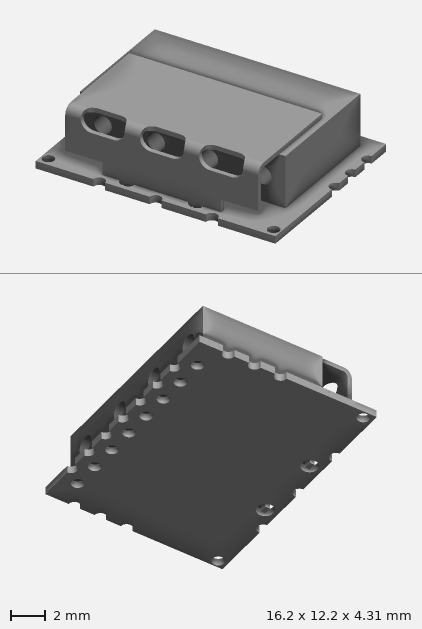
import cadquery as cq
import math

BOARD_LENGTH = 16.2
BOARD_WIDTH = 12.2
BOARD_THICKNESS = 0.5
PAD_DIAMETER = 0.8
PAD_PITCH = 1.8
REAR_NOTCH_COUNT = 7
SIDE_NOTCH_COUNT = 3
SIDE_NOTCH_CENTRE_Y = 2.3
FRONT_NOTCH_COUNT = 3
FRONT_NOTCH_PITCH = 3.8
VIA_COUNT = 8
VIA_ROW_INSET = 1.05
CORNER_HOLE_INSET_X = 0.49
CORNER_HOLE_INSET_Y = 0.6
TAB_HOLE_DIAMETER = 1.1
TAB_SPACING = 4.67

BLOCK_LENGTH = 13.9
BLOCK_HEIGHT = 3.5
BLOCK_FRONT_Y = -3.11
BLOCK_REAR_Y = 5.12
BORE_DIAMETER = 1.2
BORE_COUNT = 4
BORE_PITCH = 2 * PAD_PITCH

SHIELD_LENGTH = 13.04
TOTAL_HEIGHT = 4.31
SHIELD_FRONT_Y = -5.43
SHIELD_REAR_Y = 1.62
BEND_RADIUS = 0.6
FOOT_LENGTH = 8.04
EAR_BOTTOM_Z = 1.35
TAB_WIDTH = 0.5

WINDOW_COUNT = 3
WINDOW_PITCH = 4.0
WINDOW_LENGTH = 2.96
WINDOW_END_RADIUS = 0.73
WINDOW_BOTTOM_Z = 3.08
WINDOW_REAR_Y = -4.63
BEND_SECTIONS = 9

HALF_LENGTH = BOARD_LENGTH / 2
HALF_WIDTH = BOARD_WIDTH / 2
BLOCK_TOP_Z = BOARD_THICKNESS + BLOCK_HEIGHT
SHEET = TOTAL_HEIGHT - BLOCK_TOP_Z
WALL_INNER_Y = SHIELD_FRONT_Y + SHEET
WALL_CENTRE_Y = SHIELD_FRONT_Y + SHEET / 2
INNER_BEND_RADIUS = BEND_RADIUS - SHEET
BEND_Y = SHIELD_FRONT_Y + BEND_RADIUS
BEND_Z = TOTAL_HEIGHT - BEND_RADIUS


def spaced(count, pitch, centre=0.0):
    """Evenly spaced positions about a centre."""
    return [centre + (i - (count - 1) / 2) * pitch for i in range(count)]


def make_board():
    """Board with edge notches, rear vias, corner holes and tab holes."""
    board = cq.Workplane("XY").box(
        BOARD_LENGTH, BOARD_WIDTH, BOARD_THICKNESS, centered=(True, True, False)
    )
    rear_notches = [(x, HALF_WIDTH) for x in spaced(REAR_NOTCH_COUNT, PAD_PITCH)]
    front_notches = [(x, -HALF_WIDTH) for x in spaced(FRONT_NOTCH_COUNT, FRONT_NOTCH_PITCH)]
    side_notches = [
        (x, y)
        for x in (-HALF_LENGTH, HALF_LENGTH)
        for y in spaced(SIDE_NOTCH_COUNT, PAD_PITCH, SIDE_NOTCH_CENTRE_Y)
    ]
    vias = [(x, HALF_WIDTH - VIA_ROW_INSET) for x in spaced(VIA_COUNT, PAD_PITCH)]
    corner_x = HALF_LENGTH - CORNER_HOLE_INSET_X
    corner_holes = [(x, CORNER_HOLE_INSET_Y - HALF_WIDTH) for x in (-corner_x, corner_x)]
    pad_cutters = (
        cq.Workplane("XY")
        .pushPoints(rear_notches + front_notches + side_notches + vias + corner_holes)
        .circle(PAD_DIAMETER / 2)
        .extrude(BOARD_THICKNESS)
    )
    tab_holes = (
        cq.Workplane("XY")
        .pushPoints([(x, WALL_CENTRE_Y) for x in spaced(2, TAB_SPACING)])
        .circle(TAB_HOLE_DIAMETER / 2)
        .extrude(BOARD_THICKNESS)
    )
    return board.cut(pad_cutters).cut(tab_holes)


def make_block():
    """Resonator block with a row of bores from front to rear."""
    depth = BLOCK_REAR_Y - BLOCK_FRONT_Y
    block = cq.Workplane("XY").box(BLOCK_LENGTH, depth, BLOCK_HEIGHT).translate(
        (0, BLOCK_FRONT_Y + depth / 2, BOARD_THICKNESS + BLOCK_HEIGHT / 2)
    )
    bore_z = BOARD_THICKNESS + BLOCK_HEIGHT / 2
    bores = (
        cq.Workplane("XZ", origin=(0, BLOCK_REAR_Y, 0))
        .pushPoints([(x, bore_z) for x in spaced(BORE_COUNT, BORE_PITCH)])
        .circle(BORE_DIAMETER / 2)
        .extrude(depth)
    )
    return block.cut(bores)


def make_bent_sheet():
    """Top plate and front wall joined by the bend, down to the board."""
    diagonal = math.sqrt(0.5)
    return (
        cq.Workplane("YZ", origin=(-SHIELD_LENGTH / 2, 0, 0))
        .moveTo(SHIELD_REAR_Y, BLOCK_TOP_Z)
        .lineTo(SHIELD_REAR_Y, TOTAL_HEIGHT)
        .lineTo(BEND_Y, TOTAL_HEIGHT)
        .threePointArc(
            (BEND_Y - BEND_RADIUS * diagonal, BEND_Z + BEND_RADIUS * diagonal),
            (SHIELD_FRONT_Y, BEND_Z),
        )
        .lineTo(SHIELD_FRONT_Y, BOARD_THICKNESS)
        .lineTo(WALL_INNER_Y, BOARD_THICKNESS)
        .lineTo(WALL_INNER_Y, BEND_Z)
        .threePointArc(
            (BEND_Y - INNER_BEND_RADIUS * diagonal, BEND_Z + INNER_BEND_RADIUS * diagonal),
            (BEND_Y, BLOCK_TOP_Z),
        )
        .close()
        .extrude(SHIELD_LENGTH)
    )


def make_ear_cutters():
    """Space below the front wall on both sides of the foot."""
    length = (SHIELD_LENGTH - FOOT_LENGTH) / 2
    height = EAR_BOTTOM_Z - BOARD_THICKNESS
    return (
        cq.Workplane("XY", origin=(0, WALL_CENTRE_Y, BOARD_THICKNESS))
        .pushPoints([(x, 0) for x in spaced(2, FOOT_LENGTH + length)])
        .rect(length, SHEET)
        .extrude(height)
    )


def make_tabs():
    """Tabs that carry the foot down through the board holes."""
    return (
        cq.Workplane("XY", origin=(0, WALL_CENTRE_Y, 0))
        .pushPoints([(x, 0) for x in spaced(2, TAB_SPACING)])
        .rect(TAB_WIDTH, SHEET)
        .extrude(BOARD_THICKNESS)
    )


def window_half_length(offset):
    """Half length of a window at a developed distance from its long axis."""
    straight = WINDOW_LENGTH / 2 - WINDOW_END_RADIUS
    return straight + math.sqrt(WINDOW_END_RADIUS**2 - offset**2)


def make_bend_cutter():
    """Part of a window inside the bend, lofted through radial sections."""
    start = BEND_Z - WINDOW_BOTTOM_Z - WINDOW_END_RADIUS
    end = WINDOW_END_RADIUS - (WINDOW_REAR_Y - BEND_Y)
    inner = INNER_BEND_RADIUS / 2
    outer = BEND_RADIUS + SHEET
    sections = []
    for i in range(BEND_SECTIONS):
        share = i / (BEND_SECTIONS - 1)
        angle = share * math.pi / 2
        half = window_half_length(start + share * (end - start))
        corners = [
            cq.Vector(x, BEND_Y - radius * math.cos(angle), BEND_Z + radius * math.sin(angle))
            for x, radius in ((-half, inner), (half, inner), (half, outer), (-half, outer))
        ]
        sections.append(cq.Wire.makePolygon(corners, close=True))
    return cq.Workplane(obj=cq.Solid.makeLoft(sections))


def make_window_cutters():
    """One window as cutters for the wall, the bend and the top plate."""
    slot_width = 2 * WINDOW_END_RADIUS
    wall_part = (
        cq.Workplane("XZ", origin=(0, WALL_INNER_Y, WINDOW_BOTTOM_Z + WINDOW_END_RADIUS))
        .slot2D(WINDOW_LENGTH, slot_width)
        .extrude(SHEET)
        .intersect(
            cq.Workplane("XY", origin=(0, WALL_CENTRE_Y, WINDOW_BOTTOM_Z))
            .rect(WINDOW_LENGTH, SHEET)
            .extrude(BEND_Z - WINDOW_BOTTOM_Z)
        )
    )
    top_depth = WINDOW_REAR_Y - BEND_Y
    top_part = (
        cq.Workplane("XY", origin=(0, WINDOW_REAR_Y - WINDOW_END_RADIUS, BLOCK_TOP_Z))
        .slot2D(WINDOW_LENGTH, slot_width)
        .extrude(SHEET)
        .intersect(
            cq.Workplane("XY", origin=(0, BEND_Y + top_depth / 2, BLOCK_TOP_Z))
            .rect(WINDOW_LENGTH, top_depth)
            .extrude(SHEET)
        )
    )
    return [wall_part, make_bend_cutter(), top_part]


def make_shield():
    """Bent sheet with foot, tabs and windows."""
    shield = make_bent_sheet().cut(make_ear_cutters()).union(make_tabs())
    for x in spaced(WINDOW_COUNT, WINDOW_PITCH):
        for cutter in make_window_cutters():
            shield = shield.cut(cutter.translate((x, 0, 0)))
    return shield


board = make_board()
block = make_block()
shield = make_shield()

result = cq.Compound.makeCompound([board.solids().val(), block.solids().val(), shield.solids().val()])